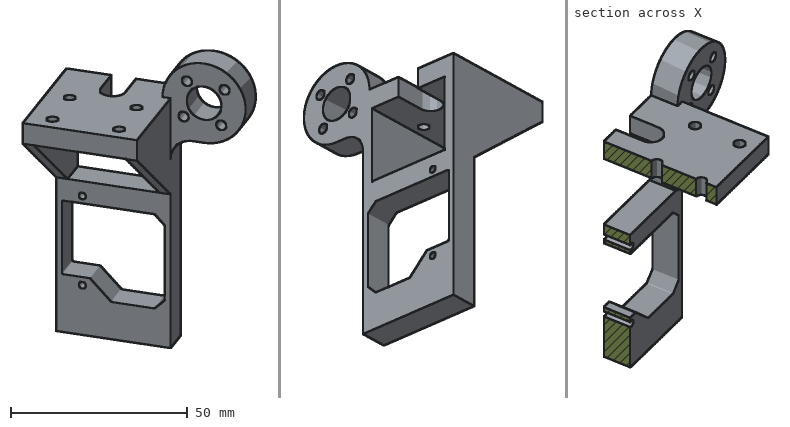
import cadquery as cq
import math

overall_height = 90.9
plate_width = 34.3
plate_thickness = 8.9

ear_radius = 12.5
ear_x = 44.3
ear_z = overall_height - ear_radius
ear_bore_diameter = 10.4
ear_hole_diameter = 3.0
ear_hole_circle_radius = 8.0
ear_hole_count = 4
ear_hole_start_angle = 40.0
web_fillet_radius = 6.6

shelf_depth = 38.0
shelf_thickness = 6.5
shelf_top_z = ear_z
shelf_bottom_z = shelf_top_z - shelf_thickness
cheek_thickness = 3.4
cheek_foot_z = 48.3

slot_width = 7.4
slot_depth = 13.2
shelf_hole_diameter = 3.4
shelf_hole_spacing_x = 20.0
shelf_hole_spacing_y = 15.0
shelf_hole_center_y = -25.4

opening_left = 1.7
opening_right = 32.5
opening_top = 41.3
opening_bottom = 11.7
opening_step_z = 18.2
opening_step_x = 10.1
opening_chamfer = 3.0
opening_corner_radius = 0.55
servo_hole_diameter = 2.1
servo_hole_x = 7.8
servo_hole_heights = (15.6, 43.6)


def front_sketch():
    """Workplane on the back face, with local X = X and local Y = Z, extruding toward -Y."""
    return cq.Workplane("XZ")


def make_body():
    """Side profile of plate, cheeks and shelf, hollowed between the cheeks."""
    profile = [
        (0, 0),
        (-plate_thickness, 0),
        (-plate_thickness, cheek_foot_z),
        (-shelf_depth, shelf_bottom_z),
        (-shelf_depth, shelf_top_z),
        (0, shelf_top_z),
    ]
    body = cq.Workplane("YZ").polyline(profile).close().extrude(plate_width)
    hollow = cq.Workplane("XY").box(
        plate_width - 2 * cheek_thickness,
        shelf_depth,
        shelf_bottom_z - cheek_foot_z,
        centered=False,
    ).translate((cheek_thickness, -shelf_depth, cheek_foot_z))
    return body.cut(hollow)


def make_ear():
    """Disc joined to the right cheek by a web with a rounded underside."""
    disc = front_sketch().center(ear_x, ear_z).circle(ear_radius).extrude(plate_thickness)
    inner_x = plate_width - cheek_thickness
    web_bottom_z = ear_z - ear_radius
    arc_reach = web_fillet_radius * math.sqrt(0.5)
    arc_center_x = plate_width + web_fillet_radius
    arc_center_z = web_bottom_z - web_fillet_radius
    web = (
        front_sketch()
        .moveTo(inner_x, ear_z)
        .lineTo(ear_x, ear_z)
        .lineTo(ear_x, web_bottom_z)
        .lineTo(arc_center_x, web_bottom_z)
        .threePointArc(
            (arc_center_x - arc_reach, arc_center_z + arc_reach),
            (plate_width, arc_center_z),
        )
        .lineTo(inner_x, arc_center_z)
        .close()
        .extrude(plate_thickness)
    )
    return disc.union(web)


def make_ear_holes():
    """Central bore and the ring of screw holes."""
    ear_plane = front_sketch().center(ear_x, ear_z)
    bore = ear_plane.circle(ear_bore_diameter / 2).extrude(plate_thickness)
    screws = (
        ear_plane.polarArray(ear_hole_circle_radius, ear_hole_start_angle, 360, ear_hole_count)
        .circle(ear_hole_diameter / 2)
        .extrude(plate_thickness)
    )
    return bore.union(screws)


def make_shelf_cuts():
    """Round-ended slot open at the back, and four screw holes."""
    shelf_plane = cq.Workplane("XY", origin=(plate_width / 2, 0, shelf_bottom_z))
    end_radius = slot_width / 2
    slot = (
        shelf_plane.moveTo(-end_radius, 0)
        .lineTo(-end_radius, end_radius - slot_depth)
        .threePointArc((0, -slot_depth), (end_radius, end_radius - slot_depth))
        .lineTo(end_radius, 0)
        .close()
        .extrude(shelf_thickness)
    )
    screws = (
        shelf_plane.center(0, shelf_hole_center_y)
        .rarray(shelf_hole_spacing_x, shelf_hole_spacing_y, 2, 2)
        .circle(shelf_hole_diameter / 2)
        .extrude(shelf_thickness)
    )
    return slot.union(screws)


def make_servo_cuts():
    """Stepped opening with softened corners, and its two screw holes."""
    ramp_end_x = opening_step_x + opening_step_z - opening_bottom
    outline = [
        (opening_left, opening_step_z),
        (opening_step_x, opening_step_z),
        (ramp_end_x, opening_bottom),
        (opening_right - opening_chamfer, opening_bottom),
        (opening_right, opening_bottom + opening_chamfer),
        (opening_right, opening_top - opening_chamfer),
        (opening_right - opening_chamfer, opening_top),
        (opening_left, opening_top),
    ]
    opening = front_sketch().polyline(outline).close().extrude(plate_thickness)
    opening = opening.edges("|Y").fillet(opening_corner_radius)
    screws = (
        front_sketch()
        .pushPoints([(servo_hole_x, height) for height in servo_hole_heights])
        .circle(servo_hole_diameter / 2)
        .extrude(plate_thickness)
    )
    return opening.union(screws)


result = (
    make_body()
    .union(make_ear())
    .cut(make_ear_holes())
    .cut(make_shelf_cuts())
    .cut(make_servo_cuts())
)